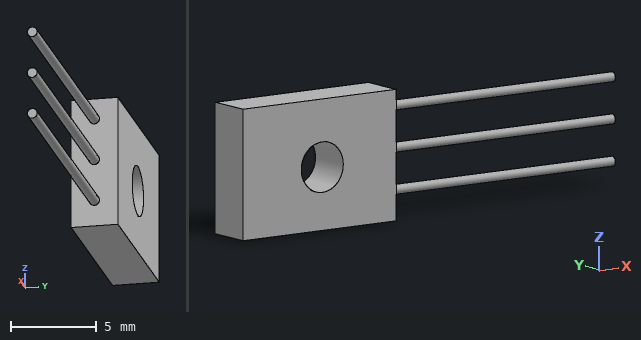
import cadquery as cq

total_length = 27.5
body_length = 11.0
body_thickness = 2.8
body_height = 7.8

hole_diameter = 3.0
hole_x = 5.7
hole_z = -0.15

lead_diameter = 0.6
lead_pitch = 2.5
lead_count = 3
middle_lead_z = 0.16
lead_length = total_length - body_length


def make_body():
    """Rectangular body with its left face at X = 0, centred in Y and Z."""
    return cq.Workplane("XY").box(
        body_length, body_thickness, body_height, centered=(False, True, True)
    )


def make_hole_cutter():
    """Cylinder along Y that passes through the full body thickness."""
    return (
        cq.Workplane("XZ", origin=(0, body_thickness / 2, 0))
        .center(hole_x, hole_z)
        .circle(hole_diameter / 2)
        .extrude(body_thickness)
    )


def make_lead(z):
    """Round lead that runs along +X from the body's right face."""
    return (
        cq.Workplane("YZ", origin=(body_length, 0, z))
        .circle(lead_diameter / 2)
        .extrude(lead_length)
    )


result = make_body().cut(make_hole_cutter())
for index in range(lead_count):
    steps_from_middle = index - (lead_count - 1) / 2
    result = result.union(make_lead(middle_lead_z + steps_from_middle * lead_pitch))